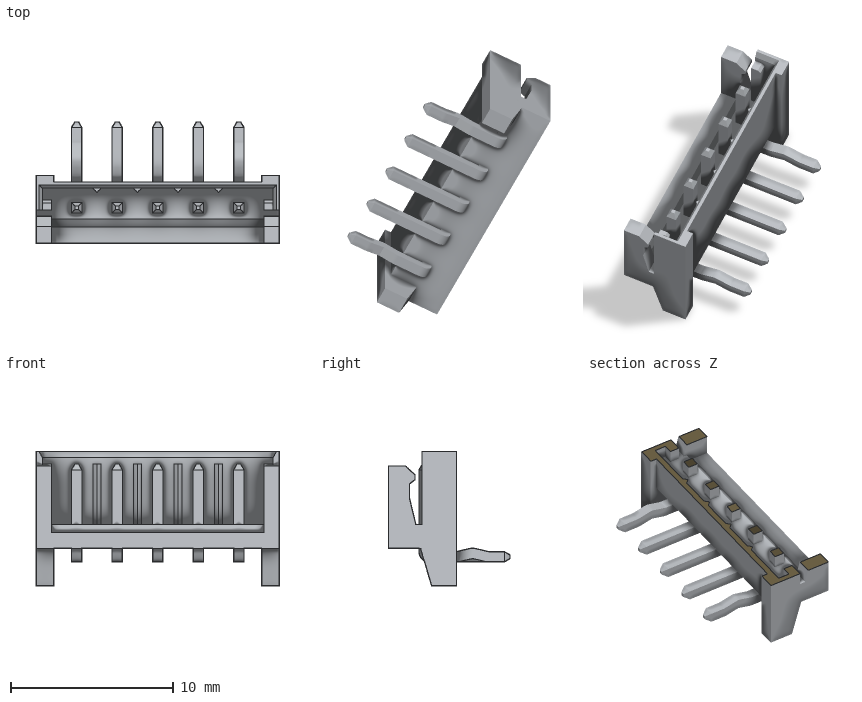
import cadquery as cq
import math


LENGTH = 15.0
HEIGHT = 8.3
BODY_BOTTOM = 2.31
BACK_FACE = 3.8
LEG_BACK_FACE = 4.2
LEG_WIDTH = 1.1
LEG_TOE_Y = 2.65
LEG_ROOT_Y = 1.98

FLOOR_Z = 3.8
SIDE_WALL = 0.38
CAVITY_BACK = 3.4
RIM_BEVEL_WIDTH = 0.2
RIM_BEVEL_DEPTH = 0.38
WINDOW_SILL_Z = 3.3
SILL_BEVEL = 0.48
SILL_FRONT_Y = 1.02

ARM_WIDTH = 0.96
ARM_TOP = 7.4
ARM_TOP_Y = 1.05
HOOK_Y = 1.65
HOOK_TOP = 6.84
HOOK_BOTTOM = 6.55
NECK_Y = 1.3
NECK_TOP = 6.28
NECK_BOTTOM = 5.4
SLOT_FRONT_Y = 1.7
SIDE_WALL_FRONT = 2.05

INNER_TOP = 7.5
POST_BACK_Y = 2.68
POST_BEVEL = 0.18
RIB_WIDTH = 0.51
RIB_DEPTH = 0.25

PIN_COUNT = 5
PITCH = LENGTH / (PIN_COUNT + 1)
PIN_SIZE = 0.65
PIN_FRONT_Y = 1.88
PIN_TOP = INNER_TOP
TAIL_BOTTOM = 1.47
TAIL_END_Y = 7.5
TIP_LENGTH = 0.35
TIP_FLAT = 0.22
KINK_CENTER_Y = 5.19
KINK_HALF_LENGTH = 1.0
KINK_ANGLE = math.radians(13)

HALF_LENGTH = LENGTH / 2
CAVITY_HALF = HALF_LENGTH - SIDE_WALL
WINDOW_HALF = HALF_LENGTH - ARM_WIDTH
TAIL_TOP = TAIL_BOTTOM + PIN_SIZE
PIN_BACK_Y = PIN_FRONT_Y + PIN_SIZE
PIN_CENTER_Y = PIN_FRONT_Y + PIN_SIZE / 2
FIRST_PIN_X = -PITCH * (PIN_COUNT - 1) / 2
PIN_XS = [FIRST_PIN_X + i * PITCH for i in range(PIN_COUNT)]


def box(x0, x1, y0, y1, z0, z1):
    """Axis-aligned block between two opposite corners."""
    return cq.Workplane("XY").box(x1 - x0, y1 - y0, z1 - z0, centered=False).translate((x0, y0, z0))


def extrude_yz(points, x0, x1):
    """Prism with a closed (Y, Z) outline, running from x0 to x1."""
    return cq.Workplane("YZ", origin=(x0, 0, 0)).polyline(points).close().extrude(x1 - x0)


def side_profile():
    """End outline: leg, latch arm, slot and side wall, over the full length."""
    points = [
        (0, BODY_BOTTOM),
        (LEG_ROOT_Y, BODY_BOTTOM),
        (LEG_TOE_Y, 0),
        (LEG_BACK_FACE, 0),
        (LEG_BACK_FACE, HEIGHT),
        (SIDE_WALL_FRONT, HEIGHT),
        (SIDE_WALL_FRONT, FLOOR_Z),
        (SLOT_FRONT_Y, FLOOR_Z),
        (NECK_Y, NECK_BOTTOM),
        (NECK_Y, NECK_TOP),
        (HOOK_Y, HOOK_BOTTOM),
        (HOOK_Y, HOOK_TOP),
        (ARM_TOP_Y, ARM_TOP),
        (0, ARM_TOP),
    ]
    return extrude_yz(points, -HALF_LENGTH, HALF_LENGTH)


def leg_gap():
    """Space between the legs: below the body and behind the back wall."""
    half = HALF_LENGTH - LEG_WIDTH
    below = box(-half, half, 0, LEG_BACK_FACE, 0, BODY_BOTTOM)
    behind = box(-half, half, BACK_FACE, LEG_BACK_FACE, 0, HEIGHT)
    return below.union(behind)


def cavity():
    """Room for the mating plug, with a steep bevel around its rim."""
    room = box(-CAVITY_HALF, CAVITY_HALF, SIDE_WALL_FRONT, CAVITY_BACK, FLOOR_Z, HEIGHT)
    bottom_depth = 2 * (CAVITY_BACK - SIDE_WALL_FRONT)
    rim = (
        cq.Workplane("XY", origin=(0, SIDE_WALL_FRONT, HEIGHT - RIM_BEVEL_DEPTH))
        .rect(2 * CAVITY_HALF, bottom_depth)
        .workplane(offset=RIM_BEVEL_DEPTH)
        .rect(2 * (CAVITY_HALF + RIM_BEVEL_WIDTH), bottom_depth + 2 * RIM_BEVEL_WIDTH)
        .loft()
    )
    return room.union(rim)


def front_window():
    """Opening between the latch arms, with a beveled step down to the sill."""
    points = [
        (0, WINDOW_SILL_Z),
        (SILL_FRONT_Y, WINDOW_SILL_Z),
        (SILL_FRONT_Y + SILL_BEVEL, FLOOR_Z),
        (SIDE_WALL_FRONT, FLOOR_Z),
        (SIDE_WALL_FRONT, HEIGHT),
        (0, HEIGHT),
    ]
    return extrude_yz(points, -WINDOW_HALF, WINDOW_HALF)


def corner_post(x0):
    """Post beside a side wall, beveled at its top rear edge."""
    points = [
        (SIDE_WALL_FRONT, FLOOR_Z),
        (POST_BACK_Y, FLOOR_Z),
        (POST_BACK_Y, INNER_TOP - POST_BEVEL),
        (POST_BACK_Y - POST_BEVEL, INNER_TOP),
        (SIDE_WALL_FRONT, INNER_TOP),
    ]
    return extrude_yz(points, x0, x0 + ARM_WIDTH - SIDE_WALL)


def keying_rib(x):
    """Triangular rib on the back wall."""
    points = [
        (x - RIB_WIDTH / 2, CAVITY_BACK),
        (x, CAVITY_BACK - RIB_DEPTH),
        (x + RIB_WIDTH / 2, CAVITY_BACK),
    ]
    outline = cq.Workplane("XY", origin=(0, 0, FLOOR_Z)).polyline(points).close()
    return outline.extrude(INNER_TOP - FLOOR_Z)


def pin_hole(x):
    """Square hole through the housing floor."""
    half = PIN_SIZE / 2
    return box(x - half, x + half, PIN_FRONT_Y, PIN_BACK_Y, BODY_BOTTOM, FLOOR_Z)


def make_housing():
    body = side_profile().cut(leg_gap()).cut(cavity()).cut(front_window())
    for x0 in (-CAVITY_HALF, WINDOW_HALF):
        body = body.union(corner_post(x0))
    for left, right in zip(PIN_XS, PIN_XS[1:]):
        body = body.union(keying_rib((left + right) / 2))
    for x in PIN_XS:
        body = body.cut(pin_hole(x))
    return body


def pin_tip(plane):
    """Tapered square point standing on a plane at the end of a pin."""
    return (
        cq.Workplane(plane)
        .rect(PIN_SIZE, PIN_SIZE)
        .workplane(offset=TIP_LENGTH)
        .rect(TIP_FLAT, TIP_FLAT)
        .loft()
    )


def on_circle(center, angle):
    """Point one pin thickness from a bend centre, angle measured from +Y."""
    return (center[0] + PIN_SIZE * math.cos(angle), center[1] + PIN_SIZE * math.sin(angle))


def bend(outline, center, start, end):
    """Draw the outer arc of a bend that turns about a sharp inner corner."""
    return outline.threePointArc(on_circle(center, (start + end) / 2), on_circle(center, end))


def pin_profile(kinked):
    """(Y, Z) outline of a pin without its tips; every bend is sharp inside."""
    up = math.pi / 2
    down = -up
    elbow = (PIN_BACK_Y, TAIL_TOP)
    stem_top = PIN_TOP - TIP_LENGTH
    tail_end = TAIL_END_Y - TIP_LENGTH
    outline = cq.Workplane("YZ").moveTo(PIN_BACK_Y, stem_top).lineTo(PIN_FRONT_Y, stem_top)
    outline = outline.lineTo(PIN_FRONT_Y, TAIL_TOP)
    outline = bend(outline, elbow, -math.pi, down)
    if kinked:
        slope_drop = (PIN_SIZE - KINK_HALF_LENGTH * math.sin(KINK_ANGLE)) / math.cos(KINK_ANGLE)
        crest = (KINK_CENTER_Y, TAIL_TOP - slope_drop)
        front_foot = (KINK_CENTER_Y - KINK_HALF_LENGTH, TAIL_TOP)
        back_foot = (KINK_CENTER_Y + KINK_HALF_LENGTH, TAIL_TOP)
        outline = outline.lineTo(*on_circle(front_foot, down))
        outline = bend(outline, front_foot, down, down + KINK_ANGLE)
        outline = outline.lineTo(*crest)
        outline = outline.lineTo(*on_circle(back_foot, down - KINK_ANGLE))
        outline = bend(outline, back_foot, down - KINK_ANGLE, down)
    outline = outline.lineTo(tail_end, TAIL_BOTTOM).lineTo(tail_end, TAIL_TOP)
    if kinked:
        outline = outline.lineTo(*back_foot)
        outline = outline.lineTo(*on_circle(crest, up - KINK_ANGLE))
        outline = bend(outline, crest, up - KINK_ANGLE, up + KINK_ANGLE)
        outline = outline.lineTo(*front_foot)
    return outline.lineTo(*elbow).close()


def make_pin(x, kinked):
    """One pin; a kinked tail grips the circuit board."""
    bar = pin_profile(kinked).extrude(PIN_SIZE / 2, both=True)
    stem_plane = cq.Plane((0, PIN_CENTER_Y, PIN_TOP - TIP_LENGTH), (1, 0, 0), (0, 0, 1))
    tail_center_z = TAIL_BOTTOM + PIN_SIZE / 2
    tail_plane = cq.Plane((0, TAIL_END_Y - TIP_LENGTH, tail_center_z), (1, 0, 0), (0, 1, 0))
    return bar.union(pin_tip(stem_plane)).union(pin_tip(tail_plane)).translate((x, 0, 0))


housing = make_housing()

pins = []
for pin_x in PIN_XS:
    is_end_pin = pin_x in (PIN_XS[0], PIN_XS[-1])
    pins.append(make_pin(pin_x, is_end_pin))

result = cq.Compound.makeCompound([housing.val(), *[pin.val() for pin in pins]])